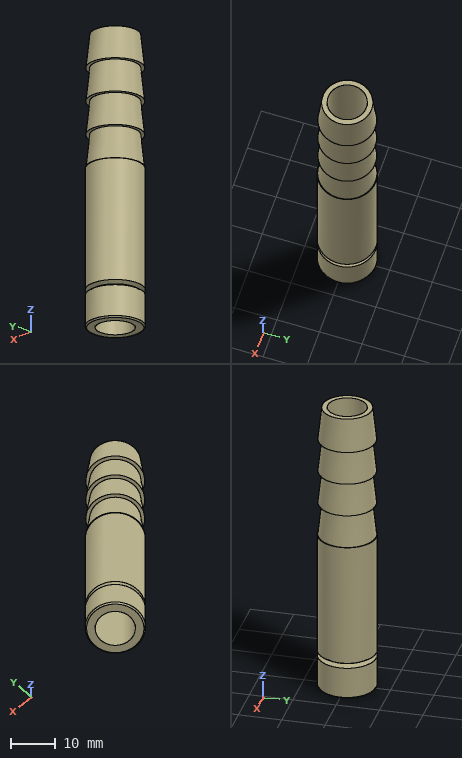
import cadquery as cq

total_length = 70.0
body_diameter = 13.5
bore_diameter = 8.95

barb_count = 4
barb_pitch = 8.0
barb_tip_diameter = 11.5
barb_base_diameter = 13.2

groove_center_height = 8.3
groove_width = 1.25
groove_depth = 1.05

end_chamfer = 0.35

body_length = total_length - barb_count * barb_pitch
body_radius = body_diameter / 2


def make_body():
    """Plain cylinder with a chamfered lower edge."""
    return cq.Workplane("XY").circle(body_radius).extrude(body_length).faces("<Z").chamfer(end_chamfer)


def make_barb(base_height):
    """One barb, a cone that narrows upwards."""
    cone = cq.Solid.makeCone(
        barb_base_diameter / 2,
        barb_tip_diameter / 2,
        barb_pitch,
        pnt=cq.Vector(0, 0, base_height),
    )
    return cq.Workplane(cone)


def make_groove():
    """Ring with a triangular section that cuts the groove around the body."""
    return (
        cq.Workplane("XZ")
        .moveTo(body_radius, groove_center_height - groove_width / 2)
        .lineTo(body_radius - groove_depth, groove_center_height)
        .lineTo(body_radius, groove_center_height + groove_width / 2)
        .close()
        .revolve(360, (0, 0, 0), (0, 1, 0))
    )


result = make_body()
for index in range(barb_count):
    result = result.union(make_barb(body_length + index * barb_pitch))
result = result.cut(make_groove())

bore = cq.Workplane("XY").circle(bore_diameter / 2).extrude(total_length)
result = result.cut(bore)